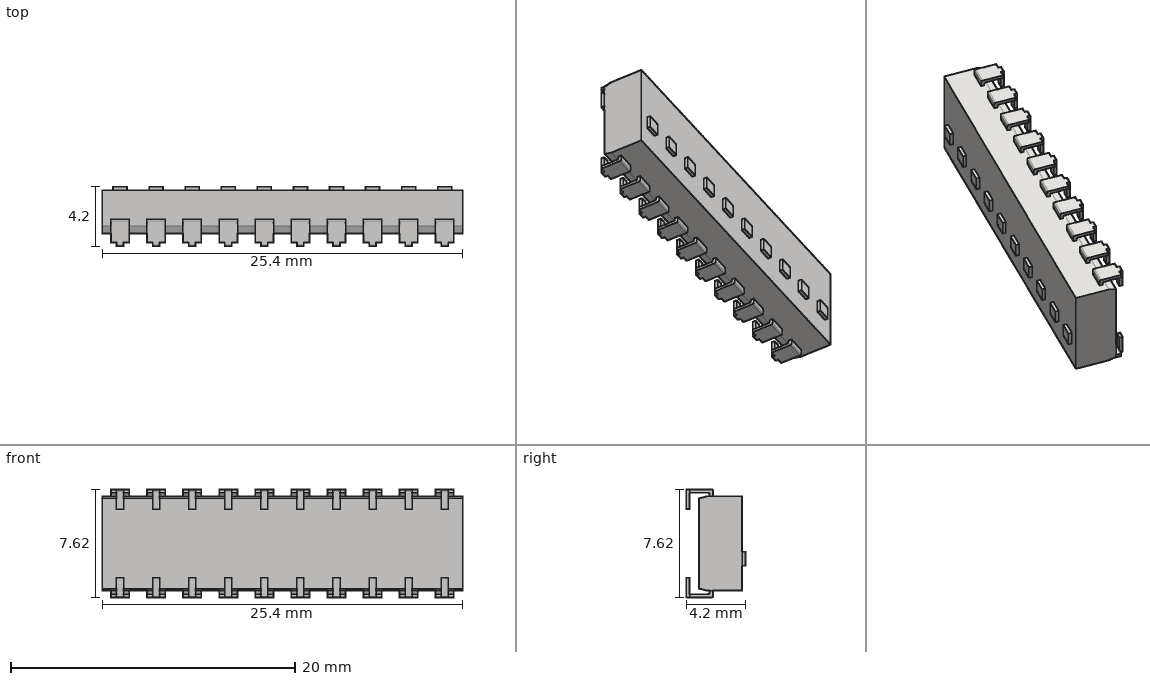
import cadquery as cq


position_count = 10
pitch = 2.54
body_length = position_count * pitch
body_depth = 3.05
body_height = 6.65
bevel_depth = 0.55
bevel_drop = 0.15

knob_size = 1.0
knob_projection = 0.25
knob_center_z = -1.07

total_depth = 4.2
lead_span = 7.62
lead_thickness = 0.25
lead_width = 1.3
lead_reach = 1.9
tip_width = 0.5
tip_length = 1.4
bend_radius = 0.1
lead_embed = 0.2

front_y = knob_projection - total_depth
root_y = front_y + lead_reach
tip_back_y = front_y + lead_thickness
lead_outer_z = lead_span / 2
lead_inner_z = lead_outer_z - lead_thickness


def make_body():
    """Bar with a shallow bevel along both long edges of the front face."""
    half_height = body_height / 2
    bevel_y = bevel_depth - body_depth
    bevel_z = half_height - bevel_drop
    return (
        cq.Workplane("YZ")
        .moveTo(0, -half_height)
        .lineTo(0, half_height)
        .lineTo(bevel_y, half_height)
        .lineTo(-body_depth, bevel_z)
        .lineTo(-body_depth, -bevel_z)
        .lineTo(bevel_y, -half_height)
        .close()
        .extrude(body_length / 2, both=True)
    )


def make_knob():
    """Square slider knob standing on the back face, at X = 0."""
    return cq.Workplane("XY").box(
        knob_size, knob_projection, knob_size, centered=(True, False, True)
    ).translate((0, 0, knob_center_z))


def make_upper_lead():
    """Wide shoulder rising out of the body, then a narrow folded tip, at X = 0."""
    root_z = body_height / 2 - lead_embed
    inner_root_y = root_y - lead_thickness
    shoulder = (
        cq.Workplane("YZ")
        .moveTo(root_y, root_z)
        .lineTo(root_y, lead_outer_z - bend_radius)
        .radiusArc((root_y - bend_radius, lead_outer_z), -bend_radius)
        .lineTo(tip_back_y, lead_outer_z)
        .lineTo(tip_back_y, lead_inner_z)
        .lineTo(inner_root_y - bend_radius, lead_inner_z)
        .radiusArc((inner_root_y, lead_inner_z - bend_radius), bend_radius)
        .lineTo(inner_root_y, root_z)
        .close()
        .extrude(lead_width / 2, both=True)
    )
    tip_end_z = lead_outer_z - tip_length
    tip = (
        cq.Workplane("YZ")
        .moveTo(tip_back_y, tip_end_z)
        .lineTo(tip_back_y, lead_outer_z)
        .lineTo(front_y + bend_radius, lead_outer_z)
        .radiusArc((front_y, lead_outer_z - bend_radius), -bend_radius)
        .lineTo(front_y, tip_end_z)
        .close()
        .extrude(tip_width / 2, both=True)
    )
    return shoulder.union(tip)


upper_lead = make_upper_lead()
lower_lead = upper_lead.mirror("XY")
knob = make_knob()

result = make_body()
for index in range(position_count):
    position_x = (index - (position_count - 1) / 2) * pitch
    for feature in (upper_lead, lower_lead, knob):
        result = result.union(feature.translate((position_x, 0, 0)))